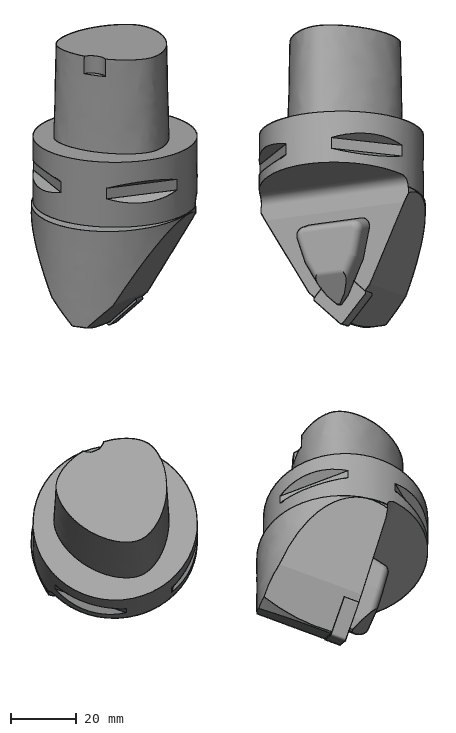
import cadquery as cq
import math


shank_height = 30.0
shank_radius = 17.55
shank_taper = 0.7
lobe_rise = 1.2
lobe_points = 36
notch_radius = 4.7
notch_center_y = -18.5
notch_depth = 5.6

flange_radius = 50.0 / 2
flange_height = 20.9
slot_z = -10.1
slot_floor_height = 3.4
slot_mouth_height = 6.8
slot_depth = 2.8
slot_angles = [45, 135, 225, 315]

head_half_width = 50.3 / 2
head_half_depth = 27.3
head_shoulder_tilt = 1.6

chip_wall_y = 4.9
chip_roof_outer_z = -16.1
chip_roof_slope = 5.0
chip_corner_radius = 3.15

rake_angle = 8.0
face_distance = 8.4
deep = 90.0

flank_top = -21.15
flank_bottom = -48.5
flank_bottom_half_width = 10.2
tip = flank_bottom - flank_bottom_half_width

relief_front = (-4.8, -58.2)
relief_middle = (-14.85, -56.7)
relief_back = (-27.45, -52.9)

insert_side = 12.7
insert_nose_radius = 0.7
insert_thickness = 4.8
insert_center = -50.8

clamp_height = 6.75
clamp_top = -27.7
clamp_top_lean = 1.8
clamp_middle = -40.4
clamp_shoulder = -50.85
clamp_bottom = -53.55
clamp_top_half_width = 12.15
clamp_middle_half_width = 8.55
clamp_shoulder_half_width = 2.9
clamp_bottom_half_width = 0.45
clamp_bevel_start = -44.6
clamp_nose_height = 1.35
clamp_round = 2.25
clamp_corner_round = 2.7

rake = math.radians(rake_angle)


def face_plane(depth=0.0):
    """Plane parallel to the cutting face; its normal points out of the face (+Y)."""
    outward = cq.Vector(0, math.cos(rake), -math.sin(rake))
    return cq.Plane(origin=outward * (face_distance - depth), xDir=(-1, 0, 0), normal=outward)


def trilobe(mean_radius):
    """Points of a three-lobed curve with support mean_radius + lobe_rise * cos(3 t)."""
    points = []
    for i in range(lobe_points):
        t = 2 * math.pi * i / lobe_points
        support = mean_radius + lobe_rise * math.cos(3 * t)
        slope = -3 * lobe_rise * math.sin(3 * t)
        along = support * math.cos(t) - slope * math.sin(t)
        across = support * math.sin(t) + slope * math.cos(t)
        points.append((-across, along))
    return points


def make_shank():
    body = (
        cq.Workplane("XY").spline(trilobe(shank_radius), periodic=True).close()
        .workplane(offset=shank_height)
        .spline(trilobe(shank_radius - shank_taper), periodic=True).close()
        .loft(ruled=True)
    )
    notch = (
        cq.Workplane("XY").workplane(offset=shank_height - notch_depth)
        .center(0, notch_center_y).circle(notch_radius).extrude(notch_depth)
    )
    return body.cut(notch)


def make_flange():
    flange = cq.Workplane("XY").circle(flange_radius).extrude(-flange_height)
    floor_x = flange_radius - slot_depth
    half_floor = slot_floor_height / 2
    half_mouth = slot_mouth_height / 2
    slot = (
        cq.Workplane("XZ", origin=(0, 0, slot_z))
        .polyline([
            (floor_x, -half_floor),
            (flange_radius, -half_mouth),
            (flange_radius, half_mouth),
            (floor_x, half_floor),
        ])
        .close().extrude(flange_radius, both=True)
    )
    for angle in slot_angles:
        flange = flange.cut(slot.rotate((0, 0, 0), (0, 0, 1), angle))
    return flange


def make_head():
    head = (
        cq.Workplane("XY").workplane(offset=-flange_height)
        .ellipse(head_half_width, head_half_depth).extrude(-deep)
    )
    shoulder_drop = deep * math.tan(math.radians(head_shoulder_tilt))
    shoulder = (
        cq.Workplane("YZ", origin=(0, 0, -flange_height))
        .polyline([(0, 0), (-deep, 0), (-deep, -shoulder_drop)])
        .close().extrude(deep, both=True)
    )
    wedge = (
        cq.Workplane(face_plane())
        .moveTo(-head_half_width, 0)
        .lineTo(-head_half_width, flank_top)
        .lineTo(-flank_bottom_half_width, flank_bottom)
        .lineTo(0, tip)
        .lineTo(flank_bottom_half_width, flank_bottom)
        .lineTo(head_half_width, flank_top)
        .lineTo(head_half_width, 0)
        .close().extrude(deep, both=True)
    )
    relief = (
        cq.Workplane("YZ").moveTo(*relief_front)
        .threePointArc(relief_middle, relief_back)
        .lineTo(relief_back[0], -deep)
        .lineTo(relief_front[0], -deep)
        .close().extrude(deep, both=True)
    )
    face_front = cq.Workplane(face_plane()).rect(2 * deep, 2 * deep).extrude(deep)
    return head.cut(shoulder).intersect(wedge).cut(relief).cut(face_front)


def make_chip_space():
    roof_rise = (flange_radius - chip_wall_y) * math.tan(math.radians(chip_roof_slope))
    roof_inner_z = chip_roof_outer_z - roof_rise
    return (
        cq.Workplane("YZ")
        .polyline([
            (chip_wall_y, -deep),
            (chip_wall_y, roof_inner_z),
            (flange_radius, chip_roof_outer_z),
            (flange_radius, -deep),
        ])
        .close().extrude(deep, both=True)
        .edges(cq.selectors.NearestToPointSelector((0, chip_wall_y, roof_inner_z)))
        .fillet(chip_corner_radius)
    )


def make_clamp():
    clamp = (
        cq.Workplane(face_plane())
        .polyline([
            (-clamp_top_half_width, clamp_top),
            (-clamp_middle_half_width, clamp_middle),
            (-clamp_shoulder_half_width, clamp_shoulder),
            (-clamp_bottom_half_width, clamp_bottom),
            (clamp_bottom_half_width, clamp_bottom),
            (clamp_shoulder_half_width, clamp_shoulder),
            (clamp_middle_half_width, clamp_middle),
            (clamp_top_half_width, clamp_top),
        ])
        .close().extrude(clamp_height)
    )
    outward = face_plane().zDir
    side_plane = cq.Plane(origin=face_plane().origin, xDir=outward, normal=(1, 0, 0))
    side = (
        cq.Workplane(side_plane)
        .polyline([
            (0, clamp_top),
            (clamp_height, clamp_top - clamp_top_lean),
            (clamp_height, clamp_bevel_start),
            (clamp_nose_height, clamp_bottom),
            (0, clamp_bottom),
        ])
        .close().extrude(deep, both=True)
    )
    clamp = clamp.intersect(side)
    end_corners = face_plane().origin + face_plane().yDir * clamp_top
    for x in (-clamp_top_half_width, clamp_top_half_width):
        corner = end_corners + cq.Vector(x, 0, 0) + outward * (clamp_height / 2)
        clamp = clamp.edges(cq.selectors.NearestToPointSelector(corner.toTuple())).fillet(clamp_corner_round)
    return clamp.faces(cq.selectors.DirectionMinMaxSelector(outward, True)).edges().fillet(clamp_round)


def make_insert():
    return (
        cq.Workplane(face_plane(insert_thickness)).center(0, insert_center)
        .transformed(rotate=(0, 0, 45)).rect(insert_side, insert_side).extrude(insert_thickness)
        .edges(cq.selectors.ParallelDirSelector(face_plane().zDir)).fillet(insert_nose_radius)
    )


insert = make_insert()
holder = make_shank().union(make_flange()).union(make_head())
holder = holder.cut(make_chip_space()).union(make_clamp()).cut(insert)

result = cq.Compound.makeCompound([holder.val(), insert.val()])